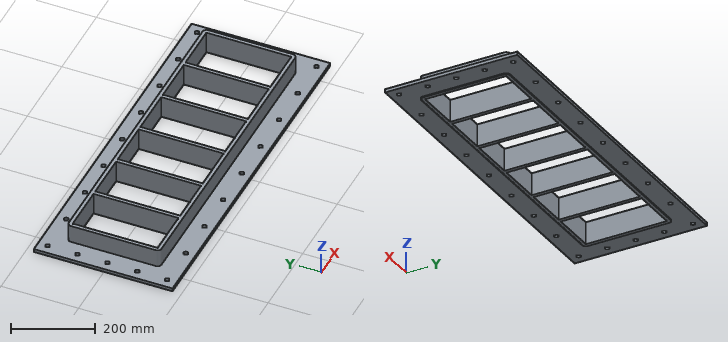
import cadquery as cq

flange_length = 913.0
flange_width = 358.0
flange_thickness = 9.0

cell_count = 6
cell_length = 120.5
cell_width = 219.0
wall = 10.0
collar_height = 60.0
collar_drop = 3.0
corner_radius = 10.0
cell_pitch = cell_length + wall
collar_length = cell_count * cell_pitch + wall
collar_width = cell_width + 2 * wall

hole_diameter = 11.0
hole_edge_distance = 25.0
holes_along_length = 9
holes_along_width = 5
hole_span_x = flange_length - 2 * hole_edge_distance
hole_span_y = flange_width - 2 * hole_edge_distance
hole_pitch_x = hole_span_x / (holes_along_length - 1)
hole_pitch_y = hole_span_y / (holes_along_width - 1)


def make_flange():
    """Flat plate with its underside at Z = 0 and a border of through holes."""
    plate = cq.Workplane("XY").box(
        flange_length, flange_width, flange_thickness, centered=(True, True, False)
    )
    long_rows = (
        cq.Workplane("XY")
        .rarray(hole_pitch_x, hole_span_y, holes_along_length, 2)
        .circle(hole_diameter / 2)
        .extrude(flange_thickness)
    )
    short_rows = (
        cq.Workplane("XY")
        .rarray(hole_span_x, hole_pitch_y, 2, holes_along_width - 2)
        .circle(hole_diameter / 2)
        .extrude(flange_thickness)
    )
    return plate.cut(long_rows).cut(short_rows)


def make_collar():
    """Solid collar block with rounded vertical corners."""
    return (
        cq.Workplane("XY", origin=(0, 0, -collar_drop))
        .rect(collar_length, collar_width)
        .extrude(collar_height)
        .edges("|Z")
        .fillet(corner_radius)
    )


def make_cells():
    """Sharp-cornered through openings, leaving one wall between neighbours."""
    return (
        cq.Workplane("XY", origin=(0, 0, -collar_drop))
        .rarray(cell_pitch, 9, cell_count, 1)
        .rect(cell_length, cell_width)
        .extrude(collar_height)
    )


result = make_flange().union(make_collar()).cut(make_cells())